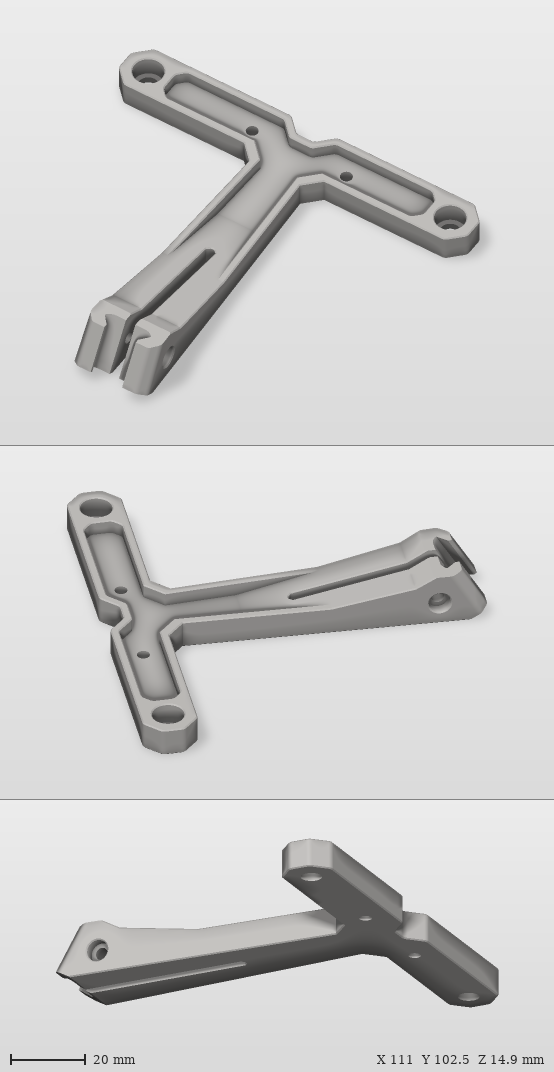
import cadquery as cq
import math


LENGTH = 111.0
TOTAL_DEPTH = 102.5
BAR_DEPTH = 15.0
PLATE_HEIGHT = 8.0
TOTAL_HEIGHT = 14.9
EDGE_BREAK = 0.3
CORNER_RADIUS = 2.0

END_CHAMFER = 4.5
NOTCH_HALF_WIDTH = 2.7
NOTCH_DEPTH = 4.7
SHOULDER = 4.7
ARM_ROOT_HALF_WIDTH = 8.1
ARM_TIP_HALF_WIDTH = 11.8

FLOOR_HEIGHT = 4.0
WALL = 2.2
POCKET_HALF_LENGTH = 41.3
POCKET_CORNER = 2.4
POCKET_SHOULDER = 3.5

RAMP_ANGLE = math.radians(10)
RAMP_START = 37.2
STEEP_START = 82.6
HEAD_START = 87.7
TILT = math.radians(30)
TIP_HEIGHT = 3.1
HEAD_CHAMFER = 2.5

SLOT_WIDTH = 3.0
SLOT_START = 50.1
SLOT_NOSE_RADIUS = 1.1
CAVITY_DEPTH = 4.5
CAVITY_BACK_HALF_WIDTH = 4.5
CAVITY_RADIUS = 4.0
NECK_HALF_WIDTH = 5.0

END_HOLE_SPACING = 96.0
END_HOLE = 5.8
END_BORE = 8.7
END_BORE_DEPTH = 6.0
SMALL_HOLE_SPACING = 30.0
SMALL_HOLE = 3.4
CROSS_HOLE = 3.4
CROSS_BORE = 6.0
CROSS_BORE_DEPTH = 3.0
CROSS_DISTANCE = 89.1
CROSS_HEIGHT = 6.4

HALF_LENGTH = LENGTH / 2
BAR_MIDDLE = BAR_DEPTH / 2
ARM_TAPER = (ARM_TIP_HALF_WIDTH - ARM_ROOT_HALF_WIDTH) / (TOTAL_DEPTH - BAR_DEPTH - SHOULDER)
RAMP_SLOPE = math.tan(RAMP_ANGLE)
RAIL_END = RAMP_START + (PLATE_HEIGHT - FLOOR_HEIGHT) / RAMP_SLOPE
STEEP_HEIGHT = FLOOR_HEIGHT + (STEEP_START - RAMP_START) * RAMP_SLOPE
HEAD_END = TOTAL_DEPTH - (TOTAL_HEIGHT - TIP_HEIGHT) * math.tan(TILT)
FOOT_END = TOTAL_DEPTH - TIP_HEIGHT / math.tan(TILT)
TOLERANCE = 0.01


def plan_prism(shoulder, inset=0):
    """Upright prism of the T-shaped plan, optionally inset, with a rounded notch."""
    right_half = [
        (NOTCH_HALF_WIDTH, -NOTCH_DEPTH),
        (NOTCH_HALF_WIDTH + NOTCH_DEPTH, 0),
        (HALF_LENGTH - END_CHAMFER, 0),
        (HALF_LENGTH, -END_CHAMFER),
        (HALF_LENGTH, END_CHAMFER - BAR_DEPTH),
        (HALF_LENGTH - END_CHAMFER, -BAR_DEPTH),
        (ARM_ROOT_HALF_WIDTH + shoulder, -BAR_DEPTH),
        (ARM_ROOT_HALF_WIDTH, -BAR_DEPTH - shoulder),
        (ARM_TIP_HALF_WIDTH, -TOTAL_DEPTH),
    ]
    left_half = [(-x, y) for x, y in reversed(right_half)]
    plan = cq.Workplane("XY").polyline(right_half + left_half).close()
    if inset:
        plan = plan.offset2D(-inset, "intersection")
    prism = plan.extrude(TOTAL_HEIGHT)

    def at_notch(edge):
        center = edge.Center()
        return abs(center.x) < HALF_LENGTH / 2 and center.y > -BAR_MIDDLE

    return prism.edges("|Z").filter(at_notch).fillet(CORNER_RADIUS)


def side_prism(points):
    """Prism along the whole bar from (distance from back edge, height) points."""
    profile = [(-distance, height) for distance, height in points]
    return cq.Workplane("YZ").polyline(profile).close().extrude(HALF_LENGTH, both=True)


def head_corners(solid):
    """Edges running up the leaning front corners of the head."""
    mid_height = (TIP_HEIGHT + TOTAL_HEIGHT) / 2

    def leans(edge):
        direction = edge.tangentAt(0.5)
        center = edge.Center()
        on_head = center.y < -HEAD_START and abs(center.z - mid_height) < TIP_HEIGHT
        return on_head and abs(abs(direction.z) - math.cos(TILT)) < TOLERANCE

    return solid.edges().filter(leans)


def make_body():
    blank = plan_prism(SHOULDER)

    def at_bar_end(edge):
        return abs(edge.Center().x) > HALF_LENGTH - END_CHAMFER - TOLERANCE

    blank = blank.edges("|Z").filter(at_bar_end).fillet(CORNER_RADIUS)
    solid = blank.intersect(side_prism([
        (0, 0),
        (0, PLATE_HEIGHT),
        (RAIL_END, PLATE_HEIGHT),
        (STEEP_START, STEEP_HEIGHT),
        (HEAD_START, TOTAL_HEIGHT),
        (HEAD_END, TOTAL_HEIGHT),
        (TOTAL_DEPTH, TIP_HEIGHT),
        (FOOT_END, 0),
    ]))
    solid = head_corners(solid).chamfer(HEAD_CHAMFER)
    return head_corners(solid).fillet(CORNER_RADIUS)


def break_outer_edges(solid):
    """Chamfer the outer edges of the underside, the plate top and both ramps."""

    def is_outer(edge):
        center = edge.Center()
        on_underside = center.z < TOLERANCE and center.y > TOLERANCE - FOOT_END
        on_plate = abs(center.z - PLATE_HEIGHT) < TOLERANCE and center.y > TOLERANCE - RAIL_END
        along_arm = abs(edge.tangentAt(0.5).y) > 0.5
        on_ramps = along_arm and -HEAD_START < center.y < -RAIL_END and center.z > PLATE_HEIGHT
        return on_underside or on_plate or on_ramps

    return solid.edges().filter(is_outer).chamfer(EDGE_BREAK)


def make_pocket():
    """Pocket with a broken rim, its floor rising along the arm until it meets the top."""
    bar_part = (
        cq.Workplane("XY").center(0, -BAR_MIDDLE)
        .rect(2 * POCKET_HALF_LENGTH, BAR_DEPTH).extrude(PLATE_HEIGHT)
    )
    arm_part = (
        cq.Workplane("XY").center(0, -TOTAL_DEPTH / 2)
        .rect(HALF_LENGTH, TOTAL_DEPTH).extrude(PLATE_HEIGHT)
    )
    prism = plan_prism(POCKET_SHOULDER, WALL).intersect(bar_part.union(arm_part))

    def at_pocket_end(edge):
        return abs(edge.Center().x) > POCKET_HALF_LENGTH - POCKET_CORNER - TOLERANCE

    prism = prism.edges("|Z").filter(at_pocket_end).chamfer(POCKET_CORNER)
    prism = prism.edges("|Z").filter(at_pocket_end).fillet(CORNER_RADIUS)

    rim = prism.faces("<Z").wires().val().translate(cq.Vector(0, 0, PLATE_HEIGHT - EDGE_BREAK))
    flare = cq.Workplane("XY").add(rim).toPending().extrude(EDGE_BREAK, taper=-45)
    above_floor = side_prism([
        (0, FLOOR_HEIGHT),
        (RAMP_START, FLOOR_HEIGHT),
        (RAIL_END, PLATE_HEIGHT),
        (0, PLATE_HEIGHT),
    ])
    return prism.union(flare).intersect(above_floor)


def cut_slot(solid):
    """Split the arm with a slot ending in a rounded point and break its edges on both ramps."""
    half_width = SLOT_WIDTH / 2
    nose_x = SLOT_NOSE_RADIUS * math.sin(math.radians(45))
    nose_y = -SLOT_START - SLOT_NOSE_RADIUS * (1 - math.cos(math.radians(45)))
    side_y = nose_y - (half_width - nose_x)
    slot = (
        cq.Workplane("XY")
        .moveTo(-half_width, -TOTAL_DEPTH).lineTo(-half_width, side_y).lineTo(-nose_x, nose_y)
        .threePointArc((0, -SLOT_START), (nose_x, nose_y))
        .lineTo(half_width, side_y).lineTo(half_width, -TOTAL_DEPTH).close()
        .extrude(TOTAL_HEIGHT)
    )

    def on_ramps(edge):
        box = edge.BoundingBox()
        in_slot = max(abs(box.xmin), abs(box.xmax)) < half_width + TOLERANCE
        along_ramps = -HEAD_START < edge.Center().y < TOLERANCE - SLOT_START
        return in_slot and along_ramps and box.zmin > FLOOR_HEIGHT

    return solid.cut(slot).edges().filter(on_ramps).chamfer(EDGE_BREAK)


def make_cavity():
    """Clamp cavity along the leaning head: flat back, round corners, 45 degree lips, neck."""
    head_plane = cq.Plane(
        origin=(0, -TOTAL_DEPTH, TIP_HEIGHT),
        xDir=(1, 0, 0),
        normal=(0, math.sin(TILT), math.cos(TILT)),
    )

    def on_corner(degrees):
        angle = math.radians(degrees)
        x = CAVITY_BACK_HALF_WIDTH + CAVITY_RADIUS * math.sin(angle)
        y = CAVITY_DEPTH - CAVITY_RADIUS * (1 - math.cos(angle))
        return x, y

    mid_x, mid_y = on_corner(22.5)
    wide_x, wide_y = on_corner(45)
    neck_y = wide_y - (wide_x - NECK_HALF_WIDTH)
    return (
        cq.Workplane(head_plane)
        .moveTo(-NECK_HALF_WIDTH, 0).lineTo(NECK_HALF_WIDTH, 0)
        .lineTo(NECK_HALF_WIDTH, neck_y).lineTo(wide_x, wide_y)
        .threePointArc((mid_x, mid_y), (CAVITY_BACK_HALF_WIDTH, CAVITY_DEPTH))
        .lineTo(-CAVITY_BACK_HALF_WIDTH, CAVITY_DEPTH)
        .threePointArc((-mid_x, mid_y), (-wide_x, wide_y))
        .lineTo(-NECK_HALF_WIDTH, neck_y).close()
        .extrude(2 * TOTAL_HEIGHT, both=True)
    )


def drill_bar(solid):
    """Counterbored holes at the bar ends and two small holes in the pocket floor."""
    top = cq.Workplane("XY", origin=(0, -BAR_MIDDLE, PLATE_HEIGHT))
    ends = [(-END_HOLE_SPACING / 2, 0), (END_HOLE_SPACING / 2, 0)]
    inner = [(-SMALL_HOLE_SPACING / 2, 0), (SMALL_HOLE_SPACING / 2, 0)]
    solid = solid.cut(top.pushPoints(ends).circle(END_HOLE / 2).extrude(-PLATE_HEIGHT))
    solid = solid.cut(top.pushPoints(ends).circle(END_BORE / 2).extrude(-END_BORE_DEPTH))
    solid = solid.cut(top.pushPoints(inner).circle(SMALL_HOLE / 2).extrude(-PLATE_HEIGHT))

    def is_bore_rim(edge):
        at_top = abs(edge.Center().z - PLATE_HEIGHT) < TOLERANCE
        return at_top and abs(edge.radius() - END_BORE / 2) < TOLERANCE

    return solid.edges("%CIRCLE").filter(is_bore_rim).chamfer(EDGE_BREAK)


def drill_head(solid):
    """Cross hole through both clamp jaws, counterbored from each side."""
    center = (0, -CROSS_DISTANCE, CROSS_HEIGHT)
    side = cq.Workplane("YZ", origin=center)
    solid = solid.cut(side.circle(CROSS_HOLE / 2).extrude(HALF_LENGTH, both=True))
    jaw_half_width = ARM_ROOT_HALF_WIDTH + (CROSS_DISTANCE - BAR_DEPTH - SHOULDER) * ARM_TAPER
    for direction in (-1, 1):
        bore_floor = side.workplane(offset=direction * (jaw_half_width - CROSS_BORE_DEPTH))
        solid = solid.cut(bore_floor.circle(CROSS_BORE / 2).extrude(direction * HALF_LENGTH))

    def is_bore_rim(edge):
        center = edge.Center()
        return (
            abs(center.x) > jaw_half_width - EDGE_BREAK
            and abs(center.y + CROSS_DISTANCE) < CROSS_BORE / 2
            and abs(center.z - CROSS_HEIGHT) < CROSS_BORE / 2
        )

    return solid.edges().filter(is_bore_rim).chamfer(EDGE_BREAK)


part = break_outer_edges(make_body())
part = part.cut(make_pocket())
part = cut_slot(part)
part = part.cut(make_cavity())
part = drill_bar(part)
result = drill_head(part)